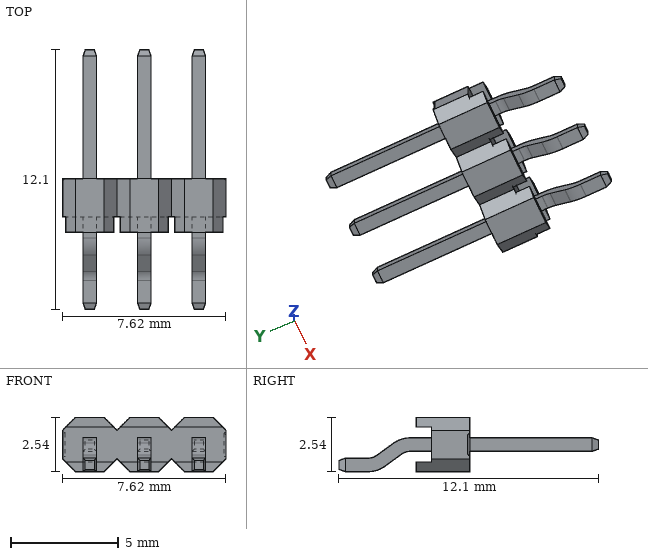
import cadquery as cq
import math


pin_count = 3
pitch = 2.54
total_length = 12.1
row_length = pin_count * pitch

housing_height = 2.54
housing_front = 3.59
housing_back = 6.1
cell_chamfer = 0.6
lip_length = 0.71
lip_thickness = 0.46
slot_height = housing_height - 2 * lip_thickness
mid_height = housing_height / 2

relief_depth = 0.11
relief_height = 1.11

pin_width = 0.64
tip_length = 0.3
tip_inset = 0.11
tip_taper = math.degrees(math.atan(tip_inset / tip_length))

bend_start = 3.33
bend_angle = math.radians(36)
bend_radius = 1.03
foot_height = pin_width / 2


def make_cell(x):
    """Octagonal prism, one pitch wide."""
    length = housing_back - housing_front
    return (
        cq.Workplane("XY")
        .box(pitch, length, housing_height)
        .edges("|Y")
        .chamfer(cell_chamfer)
        .translate((x, housing_front + length / 2, mid_height))
    )


def make_front_slot():
    """Slot along the whole row that leaves an upper and a lower lip."""
    return cq.Workplane("XY").box(row_length, lip_length, slot_height).translate(
        (0, housing_front + lip_length / 2, mid_height)
    )


def make_end_relief(side):
    """Wedge cutter for the rear edge of the end wall on the given side (-1 or +1)."""
    end_x = side * row_length / 2
    wedge = (
        cq.Workplane("XY", origin=(0, 0, mid_height - relief_height / 2))
        .moveTo(end_x, housing_back)
        .lineTo(end_x - side * relief_depth, housing_back)
        .lineTo(end_x, housing_back - relief_depth)
        .close()
        .extrude(relief_height)
    )
    narrowing = (
        cq.Workplane("YZ", origin=(-row_length, 0, 0))
        .moveTo(housing_back, mid_height - relief_height / 2)
        .lineTo(housing_back, mid_height + relief_height / 2)
        .lineTo(housing_back - relief_depth, mid_height + relief_height / 2 - relief_depth)
        .lineTo(housing_back - relief_depth, mid_height - relief_height / 2 + relief_depth)
        .close()
        .extrude(2 * row_length)
    )
    return wedge.intersect(narrowing)


def pin_section(x, y, z):
    """Square pin section, centred on the given point and square to Y."""
    return cq.Workplane("XZ", origin=(x, y, z)).rect(pin_width, pin_width)


def make_pin(x):
    """Square pin swept along its bent centre line, with a tapered tip at each end."""
    back_y = total_length - tip_length
    arc_run = bend_radius * math.sin(bend_angle)
    arc_drop = bend_radius * (1 - math.cos(bend_angle))
    half_arc_run = bend_radius * math.sin(bend_angle / 2)
    half_arc_drop = bend_radius * (1 - math.cos(bend_angle / 2))
    slope_drop = mid_height - foot_height - 2 * arc_drop
    slope_run = slope_drop / math.tan(bend_angle)
    bend_end = bend_start - 2 * arc_run - slope_run

    centre_line = (
        cq.Workplane("YZ", origin=(x, 0, 0))
        .moveTo(back_y, mid_height)
        .lineTo(bend_start, mid_height)
        .threePointArc(
            (bend_start - half_arc_run, mid_height - half_arc_drop),
            (bend_start - arc_run, mid_height - arc_drop),
        )
        .lineTo(bend_end + arc_run, foot_height + arc_drop)
        .threePointArc(
            (bend_end + half_arc_run, foot_height + half_arc_drop),
            (bend_end, foot_height),
        )
        .lineTo(tip_length, foot_height)
    )
    shank = pin_section(x, back_y, mid_height).sweep(centre_line)
    back_tip = pin_section(x, back_y, mid_height).extrude(-tip_length, taper=tip_taper)
    front_tip = pin_section(x, tip_length, foot_height).extrude(tip_length, taper=tip_taper)
    return shank.union(back_tip).union(front_tip)


cell_centres = [(i - (pin_count - 1) / 2) * pitch for i in range(pin_count)]

housing = make_cell(cell_centres[0])
for x in cell_centres[1:]:
    housing = housing.union(make_cell(x))
housing = housing.cut(make_front_slot())
for side in (-1, 1):
    housing = housing.cut(make_end_relief(side))

result = housing
for x in cell_centres:
    result = result.union(make_pin(x))